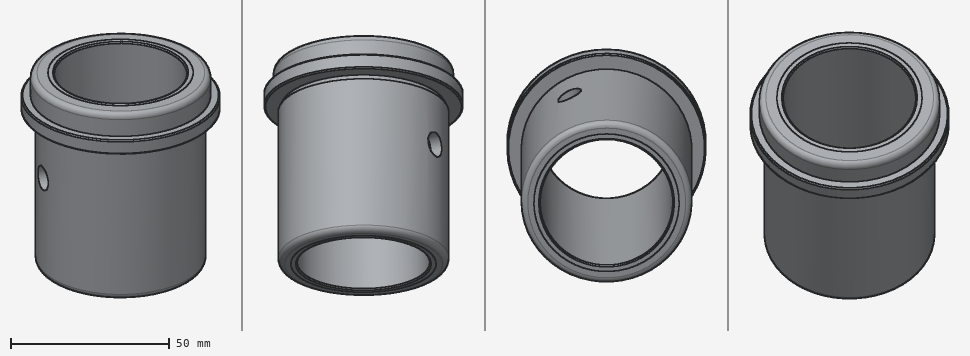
import cadquery as cq

height = 67.0

collar_radius = 28.55
collar_height = 8.05
flange_radius = 31.5
flange_thickness = 5.0
flange_chamfer = 0.5
barrel_radius = 27.0
neck_radius = 26.05
neck_height = 1.75
end_fillet = 2.0

liner_outer_radius = 23.0
liner_bore_radius = 21.0
bore_chamfer = 0.5

hole_diameter = 8.05
hole_height = 35.0

flange_top = height - collar_height
flange_bottom = flange_top - flange_thickness
barrel_top = flange_bottom - neck_height


def make_housing():
    """Flanged sleeve with a cylindrical seat for the liner and a radial hole."""
    barrel = cq.Workplane("XY").circle(barrel_radius).extrude(barrel_top)
    barrel = barrel.faces("<Z").edges().fillet(end_fillet)

    neck = cq.Workplane("XY").add(
        cq.Solid.makeCone(barrel_radius, neck_radius, neck_height, cq.Vector(0, 0, barrel_top))
    )

    flange = cq.Workplane("XY", origin=(0, 0, flange_bottom)).circle(flange_radius).extrude(flange_thickness)
    flange = flange.edges().chamfer(flange_chamfer)

    collar = cq.Workplane("XY", origin=(0, 0, flange_top)).circle(collar_radius).extrude(collar_height)
    collar = collar.faces(">Z").edges().fillet(end_fillet)

    seat = cq.Workplane("XY").circle(liner_outer_radius).extrude(height)
    hole = (
        cq.Workplane("XZ", origin=(0, 0, hole_height))
        .circle(hole_diameter / 2)
        .extrude(flange_radius)
    )
    return barrel.union(neck).union(flange).union(collar).cut(seat).cut(hole)


def make_liner():
    """Plain tube with the bore chamfered at both ends."""
    tube = cq.Workplane("XY").circle(liner_outer_radius).circle(liner_bore_radius).extrude(height)
    return tube.faces("<Z or >Z").edges(cq.selectors.RadiusNthSelector(0)).chamfer(bore_chamfer)


housing = make_housing()
liner = make_liner()

result = cq.Compound.makeCompound([housing.val(), liner.val()])